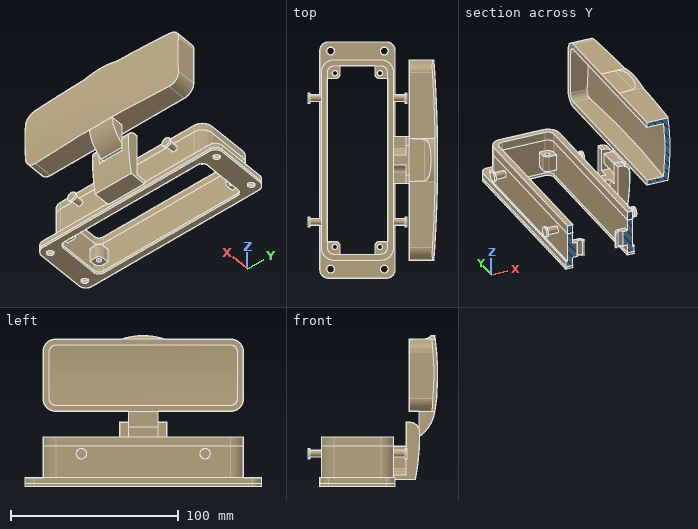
import cadquery as cq
import math

flange_width = 45.0
flange_length = 141.0
flange_radius = 5.3
gasket_thickness = 1.8
flange_top = 5.4
mount_hole_diameter = 4.5
mount_hole_spacing_x = 32.0
mount_hole_spacing_y = 130.0

wall = 3.6
shell_width = 43.1
shell_length = 119.5
shell_radius = 7.6
housing_top = 24.2
seal_top = 29.6

lug_size = 7.6
lug_radius = 2.8
lug_bottom = 6.9
lug_top = 17.0
lug_hole_diameter = 3.0
lug_hole_spacing_x = 26.8
lug_hole_spacing_y = 103.6

peg_diameter = 4.2
peg_head_diameter = 6.2
peg_head_thickness = 1.2
peg_tip = 29.6
peg_spacing = 73.8
peg_height = 19.6

bracket_width = 28.2
bracket_front = 29.1
bracket_back = 37.1
bracket_bottom = 4.2
bracket_top = 38.4
bracket_top_radius = 6.0
bracket_foot_back = 34.6
bracket_belly_back = 36.5
bracket_belly_height = 17.0
bracket_floor = housing_top
bracket_slot_width = 17.6
arm_plate_top = 6.8
arm_rib_width = 6.0
arm_fillet = 4.0

cover_front = 30.8
cover_bottom = 44.85
crown_peak = 47.87
cover_center_z = cover_bottom + shell_width / 2
cover_top = cover_bottom + shell_width
crown_radius_across = 160.0
crown_radius_along = 790.0
crown_margin = 5.0
crown_half_height = shell_width / 2 + crown_margin
crown_half_length = shell_length / 2 + crown_margin

grip_width = 25.6
grip_peak = 90.06
grip_hollow_start = 39.9
grip_ramp_rise = 0.15
grip_hollow_floor = cover_top + grip_ramp_rise
grip_hollow_radius = 5.0

hook_back = 46.2
hook_front = 36.7
hook_mid = (42.6, 35.6)
hook_toe = 35.3
hook_bottom = 28.8
hook_bar_top = 35.5


def corner_points(spacing_x, spacing_y):
    return [(sx * spacing_x / 2, sy * spacing_y / 2) for sx in (-1, 1) for sy in (-1, 1)]


def rounded_prism(width, length, radius, bottom, top):
    block = cq.Workplane("XY").workplane(offset=bottom).rect(width, length).extrude(top - bottom)
    return block.edges("|Z").fillet(radius)


def housing_opening(bottom, top):
    return rounded_prism(
        shell_width - 2 * wall, shell_length - 2 * wall, shell_radius - wall, bottom, top
    )


def shell_outline(bottom, top):
    return rounded_prism(shell_width, shell_length, shell_radius, bottom, top)


def shell_ring(bottom, top):
    return shell_outline(bottom, top).cut(housing_opening(bottom, top))


def flange_plate(bottom, top):
    plate = rounded_prism(flange_width, flange_length, flange_radius, bottom, top)
    holes = (
        cq.Workplane("XY")
        .workplane(offset=bottom)
        .pushPoints(corner_points(mount_hole_spacing_x, mount_hole_spacing_y))
        .circle(mount_hole_diameter / 2)
        .extrude(top - bottom)
    )
    return plate.cut(holes).cut(housing_opening(bottom, top))


def screw_lugs():
    """Four corner lugs, each rounded where it faces the middle of the opening."""
    cross_x = shell_width - 2 * wall - 2 * lug_size
    cross_y = shell_length - 2 * wall - 2 * lug_size
    outer_x = (shell_width - wall) / 2
    outer_y = (shell_length - wall) / 2
    size_x = outer_x - cross_x / 2
    size_y = outer_y - cross_y / 2
    lugs = (
        cq.Workplane("XY")
        .workplane(offset=lug_bottom)
        .pushPoints(corner_points(outer_x + cross_x / 2, outer_y + cross_y / 2))
        .rect(size_x, size_y)
        .extrude(lug_top - lug_bottom)
    )
    reach_x = (cross_x + lug_size) / 2
    reach_y = (cross_y + lug_size) / 2
    inner_edges = cq.selectors.BoxSelector(
        (-reach_x, -reach_y, lug_bottom), (reach_x, reach_y, lug_top)
    )
    lugs = lugs.edges("|Z").edges(inner_edges).fillet(lug_radius)
    return lugs.intersect(shell_outline(lug_bottom, lug_top))


def lug_holes():
    return (
        cq.Workplane("XY")
        .workplane(offset=lug_bottom)
        .pushPoints(corner_points(lug_hole_spacing_x, lug_hole_spacing_y))
        .circle(lug_hole_diameter / 2)
        .extrude(lug_top - lug_bottom)
    )


def peg(side, y):
    """Headed peg standing out from the long wall on the given side (-1 or 1)."""
    root = (shell_width - wall) / 2
    stem = (
        cq.Workplane("YZ")
        .workplane(offset=side * root)
        .center(y, peg_height)
        .circle(peg_diameter / 2)
        .extrude(side * (peg_tip - root))
    )
    head = (
        cq.Workplane("YZ")
        .workplane(offset=side * peg_tip)
        .center(y, peg_height)
        .circle(peg_head_diameter / 2)
        .extrude(-side * peg_head_thickness)
    )
    return stem.union(head)


def bracket():
    """Curved-back bracket block with a slot that leaves a post on either side."""
    arc = bracket_top_radius
    shoulder = (bracket_back - arc, bracket_top - arc)
    arc_mid = (shoulder[0] + arc * math.sqrt(0.5), shoulder[1] + arc * math.sqrt(0.5))
    post = (
        cq.Workplane("XZ")
        .moveTo(bracket_front, bracket_bottom)
        .lineTo(bracket_foot_back, bracket_bottom)
        .threePointArc((bracket_belly_back, bracket_belly_height), (bracket_back, shoulder[1]))
        .threePointArc(arc_mid, (shoulder[0], bracket_top))
        .lineTo(bracket_front, bracket_top)
        .close()
        .extrude(bracket_width / 2, both=True)
    )
    slot = (
        cq.Workplane("XY")
        .workplane(offset=bracket_floor)
        .center((bracket_front + bracket_back) / 2, 0)
        .rect(2 * (bracket_back - bracket_front), bracket_slot_width)
        .extrude(bracket_top - bracket_floor)
    )
    return post.cut(slot)


def bracket_arm():
    """Inverted-T arm from the housing to the bracket, filleted at the foot of its rib."""
    start = shell_width / 2 - wall / 2
    arm = (
        cq.Workplane("YZ")
        .workplane(offset=start)
        .moveTo(-bracket_width / 2, bracket_bottom)
        .lineTo(bracket_width / 2, bracket_bottom)
        .lineTo(bracket_width / 2, arm_plate_top)
        .lineTo(arm_rib_width / 2, arm_plate_top)
        .lineTo(arm_rib_width / 2, bracket_floor)
        .lineTo(-arm_rib_width / 2, bracket_floor)
        .lineTo(-arm_rib_width / 2, arm_plate_top)
        .lineTo(-bracket_width / 2, arm_plate_top)
        .close()
        .extrude(bracket_front - start)
    )
    rib_foot = cq.selectors.BoxSelector(
        (start, -arm_rib_width, arm_plate_top - arm_fillet / 2),
        (bracket_front, arm_rib_width, arm_plate_top + arm_fillet / 2),
    )
    return arm.edges("|X").edges(rib_foot).fillet(arm_fillet)


def cover_block(inset):
    """Rounded cover outline, closed at the back by the crown; inset shrinks every face but the front."""
    block = (
        cq.Workplane("YZ")
        .workplane(offset=cover_front)
        .center(0, cover_center_z)
        .rect(shell_length - 2 * inset, shell_width - 2 * inset)
        .extrude(crown_peak - cover_front)
        .edges("|X")
        .fillet(shell_radius - inset)
    )
    return block if inset else block.union(grip())


def grip():
    """Arched thumb grip: a ramp along the top edge, then a hollow curving up to the lip."""
    arch = (
        cq.Workplane("YZ")
        .workplane(offset=cover_front)
        .moveTo(-grip_width / 2, cover_top)
        .threePointArc((0, grip_peak), (grip_width / 2, cover_top))
        .close()
        .extrude(crown_peak - cover_front)
    )
    hollow_center_z = grip_hollow_floor + grip_hollow_radius
    hollow_mid = (
        grip_hollow_start + grip_hollow_radius * math.sqrt(0.5),
        hollow_center_z - grip_hollow_radius * math.sqrt(0.5),
    )
    hollow = (
        cq.Workplane("XZ")
        .moveTo(cover_front, cover_top)
        .lineTo(grip_hollow_start, grip_hollow_floor)
        .threePointArc(hollow_mid, (grip_hollow_start + grip_hollow_radius, hollow_center_z))
        .lineTo(cover_front, hollow_center_z)
        .close()
        .extrude(grip_width, both=True)
    )
    return arch.cut(hollow)


def crown(inset):
    """Solid behind the doubly curved back: an arc across the cover swept on a larger arc along it."""
    peak = crown_peak - inset
    across = crown_radius_across - inset
    along = crown_radius_along - inset
    edge = peak - across + math.sqrt(across**2 - crown_half_height**2)
    bottom = cover_center_z - crown_half_height
    top = cover_center_z + crown_half_height
    start = cover_front - wall
    profile = (
        cq.Workplane("XZ")
        .moveTo(start, bottom)
        .lineTo(edge, bottom)
        .threePointArc((peak, cover_center_z), (edge, top))
        .lineTo(start, top)
        .close()
    )
    axis_x = peak - along
    sweep = 2 * math.degrees(math.asin(crown_half_length / along))
    body = profile.revolve(sweep, (axis_x, 0, 0), (axis_x, 1, 0))
    return body.rotate((axis_x, 0, 0), (axis_x, 0, 1), -sweep / 2)


def hinge_hook():
    """L-shaped arm below the cover whose bar lies in the bracket slot."""
    return (
        cq.Workplane("XZ")
        .moveTo(hook_front, cover_bottom)
        .lineTo(hook_front, hook_bar_top)
        .lineTo(cover_front, hook_bar_top)
        .lineTo(cover_front, hook_bottom)
        .lineTo(hook_toe, hook_bottom)
        .threePointArc(hook_mid, (hook_back, cover_bottom))
        .close()
        .extrude(bracket_slot_width / 2, both=True)
    )


def make_cover():
    body = cover_block(0).intersect(crown(0))
    pocket = cover_block(wall).intersect(crown(wall))
    return body.cut(pocket).union(hinge_hook())


def make_housing():
    """Flange, walls, lugs, pegs and bracket in one piece with the cover that stands on the bracket."""
    body = flange_plate(gasket_thickness, flange_top)
    body = body.union(shell_ring(flange_top, housing_top)).union(screw_lugs())
    for side, end in corner_points(2, 2):
        body = body.union(peg(side, end * peg_spacing / 2))
    return body.union(bracket()).union(bracket_arm()).cut(lug_holes()).union(make_cover())


gasket = flange_plate(0, gasket_thickness)
housing = make_housing()
rim_seal = shell_ring(housing_top, seal_top)

result = cq.Compound.makeCompound([gasket.val(), housing.val(), rim_seal.val()])